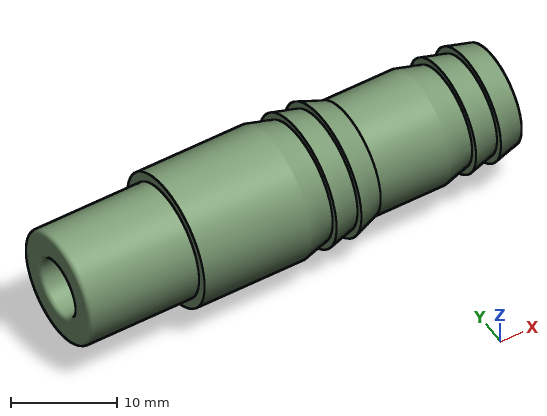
import cadquery as cq

length = 48.0
bore_diameter = 6.0
tube_diameter = 12.0
collar_diameter = 14.0
collar_start = 12.0
collar_end = 23.8
barb_count = 3
barb_length = 2.75
barb_drop = 0.7
edge_radius = 0.5

tube_radius = tube_diameter / 2
collar_radius = collar_diameter / 2
tip_barbs_start = length - barb_count * barb_length


def barb_points(start, crest_radius, end_radius):
    """Sawtooth outline: each barb tapers toward +X, the last one to end_radius."""
    points = []
    for index in range(barb_count):
        barb_start = start + index * barb_length
        is_last = index == barb_count - 1
        root_radius = end_radius if is_last else crest_radius - barb_drop
        points.append((barb_start, crest_radius))
        points.append((barb_start + barb_length, root_radius))
    return points


outline = [(0, 0), (0, tube_radius), (collar_start, tube_radius), (collar_start, collar_radius)]
outline += barb_points(collar_end, collar_radius, tube_radius)
outline += barb_points(tip_barbs_start, tube_radius, tube_radius - barb_drop)
outline += [(length, 0)]
body = cq.Workplane("XY").polyline(outline).close().revolve(360, (0, 0, 0), (1, 0, 0))

bore = cq.Workplane("YZ").circle(bore_diameter / 2).extrude(length)
body = body.cut(bore)

result = body.faces("<X").edges().fillet(edge_radius)